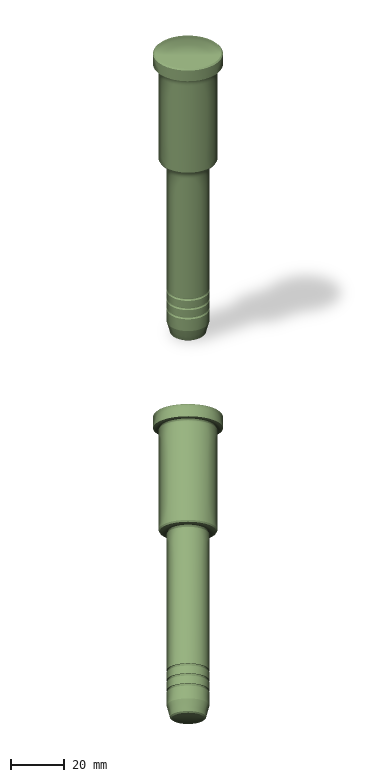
import cadquery as cq
import math

total_length = 120.0
head_diameter = 26.0
head_height = 5.0
head_chamfer = 0.5

body_diameter = 22.0
body_end_depth = 46.0
body_chamfer_width = 0.4
body_chamfer_height = 0.6
head_relief_depth = 0.4
head_relief_height = 0.5

shank_diameter = 16.0
neck_diameter = 15.0
neck_height = 1.1

groove_count = 3
first_groove_depth = 101.0
groove_pitch = 4.0
groove_height = 1.0
groove_cut = 0.5

taper_height = 5.0
taper_angle = 15.0
tip_chamfer = 0.5

head_radius = head_diameter / 2
body_radius = body_diameter / 2
shank_radius = shank_diameter / 2
neck_radius = neck_diameter / 2
tip_radius = shank_radius - taper_height * math.tan(math.radians(taper_angle))

head_bottom = total_length - head_height
body_top = head_bottom - head_relief_height
body_bottom = total_length - body_end_depth
relief_radius = body_radius - head_relief_depth
shank_top = body_bottom - neck_height


def cylinder(radius, bottom, top):
    """Cylinder on the Z axis between two heights."""
    return cq.Workplane("XY").workplane(offset=bottom).circle(radius).extrude(top - bottom)


def make_head():
    return cylinder(head_radius, head_bottom, total_length).faces(">Z").chamfer(head_chamfer)


def make_body():
    """Body with steep chamfers at both ends and a relief under the head."""
    profile = [
        (0, head_bottom),
        (relief_radius, head_bottom),
        (relief_radius, body_top),
        (body_radius, body_top - head_relief_depth),
        (body_radius, body_bottom + body_chamfer_height),
        (body_radius - body_chamfer_width, body_bottom),
        (0, body_bottom),
    ]
    return cq.Workplane("XZ").polyline(profile).close().revolve(360, (0, 0), (0, 1))


def make_shank():
    """Straight shank with a tapered, chamfered tip at Z = 0."""
    profile = [
        (0, shank_top),
        (shank_radius, shank_top),
        (shank_radius, taper_height),
        (tip_radius, 0),
        (0, 0),
    ]
    shank = cq.Workplane("XZ").polyline(profile).close().revolve(360, (0, 0), (0, 1))
    return shank.faces("<Z").chamfer(tip_chamfer)


def make_groove(top):
    """Ring-shaped cutter for one oil groove."""
    floor_radius = shank_radius - groove_cut
    bottom = top - groove_height
    profile = [
        (shank_radius, top),
        (floor_radius, top),
        (floor_radius, bottom + groove_cut),
        (shank_radius, bottom),
    ]
    return cq.Workplane("XZ").polyline(profile).close().revolve(360, (0, 0), (0, 1))


neck = cylinder(neck_radius, shank_top, body_bottom)
result = make_head().union(make_body()).union(neck).union(make_shank())
for index in range(groove_count):
    groove_top = total_length - first_groove_depth - index * groove_pitch
    result = result.cut(make_groove(groove_top))